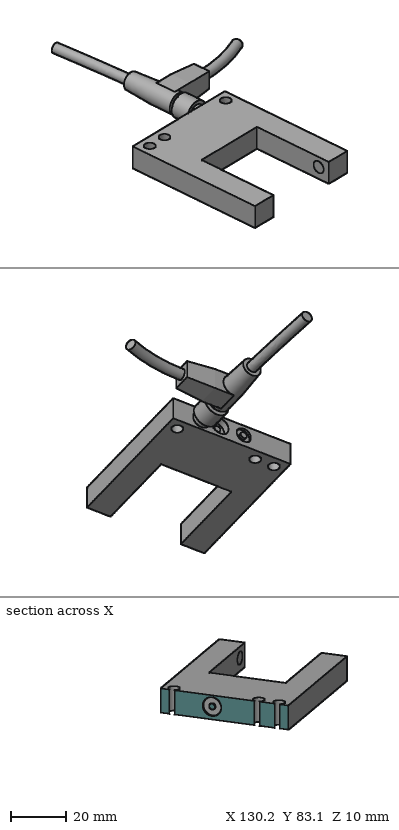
import cadquery as cq

HOUSING_LENGTH = 59.9
HOUSING_WIDTH = 50.0
HOUSING_THICKNESS = 9.5
FORK_GAP = 30.0
FORK_ROOT_X = 24.7

MOUNT_HOLE_DIAMETER = 4.3
MOUNT_HOLE_INSET = 4.4
MOUNT_HOLE_PITCH = 8.0

RECESS_Z = 0.3
RECESS_PITCH = 10.0
LOWER_RECESS_Y = -5.1
LOWER_RECESS_DIAMETER = 6.0
LOWER_RECESS_DEPTH = 1.0
LOWER_STUD_DIAMETER = 2.6
UPPER_RECESS_Y = LOWER_RECESS_Y + RECESS_PITCH
UPPER_RECESS_DIAMETER = 7.0
UPPER_RECESS_DEPTH = 3.0
UPPER_STUD_DIAMETER = 2.5
STUD_HEIGHT = 1.0

LENS_DIAMETER = 5.0
LENS_DEPTH = 2.0
LENS_TIP_INSET = 5.0
LENS_X = HOUSING_LENGTH - LENS_TIP_INSET
LENS_Z = 0.4

CONNECTOR_Y = 13.0
STUB_DIAMETER = 7.0
STUB_END_X = -3.0
NUT_DIAMETER = 10.0
NUT_END_X = -10.7
NECK_DIAMETER = 6.0
NECK_END_X = -12.1
BARREL_DIAMETER = 9.0
BARREL_END_X = -22.7
BOOT_END_DIAMETER = 7.5
BOOT_END_X = -35.2
CONNECTOR_Z = (HOUSING_THICKNESS - NUT_DIAMETER) / 2

BLOCK_SIDE = BARREL_DIAMETER
BLOCK_X = BARREL_END_X + BLOCK_SIDE / 2
BLOCK_LENGTH = 8.1
OUTLET_END_SIDE = BOOT_END_DIAMETER
OUTLET_TAPER_LENGTH = 11.5

CABLE_DIAMETER = 4.3
OVERALL_LENGTH = 130.2
STRAIGHT_CABLE_DRIFT = 2.0
STRAIGHT_CABLE_BOW = 0.1
CABLE_RIM_LEAN = 0.07
ANGLED_CABLE_RUN = 24.7
ANGLED_CABLE_DRIFT = 5.0


def cylinder_along_x(diameter, start_x, length, y, z):
    plane = cq.Plane(origin=(start_x, y, z), xDir=(0, 1, 0), normal=(1, 0, 0))
    return cq.Workplane(plane).circle(diameter / 2).extrude(length)


def make_lens():
    inner_face_y = FORK_GAP / 2
    plane = cq.Plane(origin=(LENS_X, inner_face_y, LENS_Z), xDir=(1, 0, 0), normal=(0, 1, 0))
    return cq.Workplane(plane).circle(LENS_DIAMETER / 2).extrude(LENS_DEPTH)


def fork_blank():
    half_width = HOUSING_WIDTH / 2
    half_gap = FORK_GAP / 2
    outline = [
        (0, -half_width),
        (HOUSING_LENGTH, -half_width),
        (HOUSING_LENGTH, -half_gap),
        (FORK_ROOT_X, -half_gap),
        (FORK_ROOT_X, half_gap),
        (HOUSING_LENGTH, half_gap),
        (HOUSING_LENGTH, half_width),
        (0, half_width),
    ]
    return (
        cq.Workplane("XY")
        .workplane(offset=-HOUSING_THICKNESS / 2)
        .polyline(outline)
        .close()
        .extrude(HOUSING_THICKNESS)
    )


def mounting_holes():
    edge_hole_y = HOUSING_WIDTH / 2 - MOUNT_HOLE_INSET
    centres = [
        (MOUNT_HOLE_INSET, edge_hole_y),
        (MOUNT_HOLE_INSET, -edge_hole_y),
        (MOUNT_HOLE_INSET, -edge_hole_y + MOUNT_HOLE_PITCH),
    ]
    return (
        cq.Workplane("XY")
        .workplane(offset=-HOUSING_THICKNESS / 2)
        .pushPoints(centres)
        .circle(MOUNT_HOLE_DIAMETER / 2)
        .extrude(HOUSING_THICKNESS)
    )


def recess_with_stud(y, recess_diameter, recess_depth, stud_diameter):
    """The material to remove: a round recess less the stud on its floor."""
    recess = cylinder_along_x(recess_diameter, 0, recess_depth, y, RECESS_Z)
    stud = cylinder_along_x(stud_diameter, recess_depth - STUD_HEIGHT, STUD_HEIGHT, y, RECESS_Z)
    return recess.cut(stud)


def make_housing(lens):
    upper_recess = recess_with_stud(
        UPPER_RECESS_Y, UPPER_RECESS_DIAMETER, UPPER_RECESS_DEPTH, UPPER_STUD_DIAMETER
    )
    lower_recess = recess_with_stud(
        LOWER_RECESS_Y, LOWER_RECESS_DIAMETER, LOWER_RECESS_DEPTH, LOWER_STUD_DIAMETER
    )
    return fork_blank().cut(mounting_holes()).cut(upper_recess).cut(lower_recess).cut(lens)


def turned_connector():
    """Stub, nut, neck, barrel and conical boot as one revolved profile."""
    profile = [
        (0, 0),
        (0, STUB_DIAMETER / 2),
        (STUB_END_X, STUB_DIAMETER / 2),
        (STUB_END_X, NUT_DIAMETER / 2),
        (NUT_END_X, NUT_DIAMETER / 2),
        (NUT_END_X, NECK_DIAMETER / 2),
        (NECK_END_X, NECK_DIAMETER / 2),
        (NECK_END_X, BARREL_DIAMETER / 2),
        (BARREL_END_X, BARREL_DIAMETER / 2),
        (BOOT_END_X, BOOT_END_DIAMETER / 2),
        (BOOT_END_X, 0),
    ]
    return (
        cq.Workplane("XY", origin=(0, CONNECTOR_Y, CONNECTOR_Z))
        .polyline(profile)
        .close()
        .revolve(360, (0, 0, 0), (1, 0, 0))
    )


def angled_outlet():
    plane = cq.Plane(origin=(BLOCK_X, CONNECTOR_Y, CONNECTOR_Z), xDir=(1, 0, 0), normal=(0, 1, 0))
    block = cq.Workplane(plane).rect(BLOCK_SIDE, BLOCK_SIDE).extrude(BLOCK_LENGTH)
    boot = (
        cq.Workplane(plane)
        .workplane(offset=BLOCK_LENGTH)
        .rect(BLOCK_SIDE, BLOCK_SIDE)
        .workplane(offset=OUTLET_TAPER_LENGTH)
        .rect(OUTLET_END_SIDE, OUTLET_END_SIDE)
        .loft(ruled=True)
    )
    return block.union(boot)


def straight_cable():
    """A cable along -X that drifts towards -Y in one very gentle arc."""
    end_x = HOUSING_LENGTH - OVERALL_LENGTH + CABLE_RIM_LEAN
    middle = ((BOOT_END_X + end_x) / 2, STRAIGHT_CABLE_BOW - STRAIGHT_CABLE_DRIFT / 2)
    path = (
        cq.Workplane("XY", origin=(0, CONNECTOR_Y, CONNECTOR_Z))
        .moveTo(BOOT_END_X, 0)
        .threePointArc(middle, (end_x, -STRAIGHT_CABLE_DRIFT))
    )
    start = cq.Workplane("YZ", origin=(BOOT_END_X, CONNECTOR_Y, CONNECTOR_Z))
    return start.circle(CABLE_DIAMETER / 2).sweep(path)


def angled_cable():
    """A cable that leaves the outlet along +Y and bends towards -X in one arc."""
    start_y = CONNECTOR_Y + BLOCK_LENGTH + OUTLET_TAPER_LENGTH
    bend_radius = (ANGLED_CABLE_RUN**2 + ANGLED_CABLE_DRIFT**2) / (2 * ANGLED_CABLE_DRIFT)
    path = cq.Workplane("XY", origin=(BLOCK_X, start_y, CONNECTOR_Z)).radiusArc(
        (-ANGLED_CABLE_DRIFT, ANGLED_CABLE_RUN), -bend_radius
    )
    start = cq.Workplane("XZ", origin=(BLOCK_X, start_y, CONNECTOR_Z))
    return start.circle(CABLE_DIAMETER / 2).sweep(path)


def make_straight_connector():
    return turned_connector().union(straight_cable())


def make_angled_connector(straight_connector):
    """The side outlet and its cable, with a saddle where the block sits on the barrel."""
    return angled_outlet().cut(straight_connector).union(angled_cable())


lens = make_lens()
housing = make_housing(lens)
straight_connector = make_straight_connector()
angled_connector = make_angled_connector(straight_connector)

result = cq.Compound.makeCompound(
    [housing.val(), lens.val(), straight_connector.val(), angled_connector.val()]
)